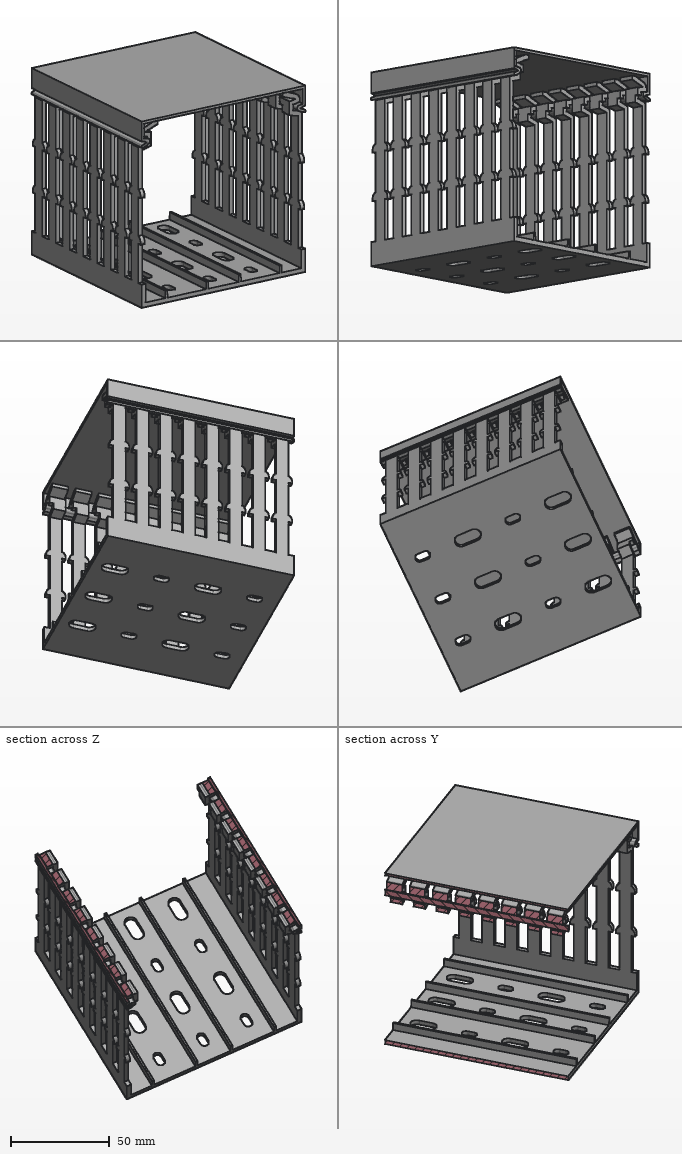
import cadquery as cq
import math

LENGTH = 100.0
WIDTH = 100.0
HEIGHT = 100.0
WALL = 2.5
COVER_WALL = 1.5
COVER_OVERHANG = 0.05
HALF_WIDTH = WIDTH / 2

FINGER_COUNT = 8
FINGER_PITCH = LENGTH / FINGER_COUNT
SLOT_WIDTH = 6.0
SLOT_BOTTOM = 12.5
FINGER_WIDTH = FINGER_PITCH - SLOT_WIDTH
FINGER_CENTERS = [(i + 0.5) * FINGER_PITCH - LENGTH / 2 for i in range(FINGER_COUNT)]

BARB_BOTTOMS = (33.5, 58.5)
BARB_REACH = 2.0
BARB_LIP = 1.0
BARB_ARC_RISE = 3.3
BARB_RADIUS = (BARB_REACH**2 + BARB_ARC_RISE**2) / (2 * BARB_REACH)

GROOVE_INSET = 5.35
NECK_INSET = GROOVE_INSET + WALL
SHOULDER_EDGE = (0.0, 14.75)
GROOVE_FLOOR = (GROOVE_INSET, 13.25)
GROOVE_ROOF = (GROOVE_INSET, 10.0)
CATCH_EDGE = (COVER_WALL, 9.4)
HOOK_ARC_START = (COVER_WALL, 7.0)
HOOK_ARC_MID = (2.5, 5.6)
HOOK_ARC_END = (4.0, 4.65)
HOOK_TIP_INSET = 11.9
HOOK_TIP_START = (9.5, 2.45)
HOOK_TIP_TOP = (HOOK_TIP_INSET, HOOK_TIP_START[1])
HOOK_TIP_BOTTOM = (HOOK_TIP_INSET, 4.5)
NOTCH_ROOT = (4.3, 7.3)
NECK_TOP = 7.85
NOTCH_MOUTH = (6.5, NECK_TOP)
NECK_BOTTOM = 15.3
NECK_TAPER_END = 16.7
HEAD_DEPTH = 11.75
HEAD_OVERHANG = 2.0

SKIRT_BOTTOM = 10.8
VEE_START = (1.4, 11.0)
VEE_ROOT = (3.0, 11.8)
LIP_TOP = (0.4, 12.9)
LIP_BOTTOM = (0.4, 14.3)
LIP_NOSE = (-COVER_OVERHANG, (LIP_TOP[1] + LIP_BOTTOM[1]) / 2)
BEAD_FLARE = (2.5, 13.8)
BEAD_ARC_START = (4.0, 12.8)
BEAD_NOSE = (5.1, 11.4)
BEAD_ARC_END = (4.1, 9.9)
BEAD_TOP = (COVER_WALL, 9.5)

RIB_CENTERS = (10.0, 34.9)
RIB_TOP = 6.4
RIB_BASE_WIDTH = 1.5
RIB_TOP_WIDTH = 1.1
HOLE_ROWS = (-25.0, 0.0, 25.0)
HOLE_COLUMNS = 2
HOLE_PITCH = 50.0
LARGE_SLOT = (14.0, 6.5)
SMALL_SLOT = (8.0, 4.5)
LARGE_SLOT_START = -37.5
SMALL_SLOT_START = -12.5


def place(point):
    """(Y, Z) on the +Y side of an (inset, depth) point."""
    inset, depth = point
    return (HALF_WIDTH - inset, HEIGHT - depth)


def extrude_x(profile, length, center=0.0):
    """Extrude a closed YZ profile along X, centred on the given X."""
    return profile.extrude(length / 2, both=True).translate((center, 0, 0))


def mirrored(body):
    """The body joined with its mirror image on the -Y side."""
    return body.union(body.mirror("XZ"))


def finger_profile():
    """Wall, clip neck and springy hook of one side, down to the slot bottom."""
    return (
        cq.Workplane("YZ")
        .moveTo(HALF_WIDTH, SLOT_BOTTOM)
        .lineTo(*place(SHOULDER_EDGE))
        .lineTo(*place(GROOVE_FLOOR))
        .lineTo(*place(GROOVE_ROOF))
        .lineTo(*place(CATCH_EDGE))
        .lineTo(*place(HOOK_ARC_START))
        .threePointArc(place(HOOK_ARC_MID), place(HOOK_ARC_END))
        .lineTo(*place(HOOK_TIP_START))
        .lineTo(*place(HOOK_TIP_TOP))
        .lineTo(*place(HOOK_TIP_BOTTOM))
        .lineTo(*place(NOTCH_ROOT))
        .lineTo(*place(NOTCH_MOUTH))
        .lineTo(*place((NECK_INSET, NECK_TOP)))
        .lineTo(*place((NECK_INSET, NECK_BOTTOM)))
        .lineTo(*place((WALL, NECK_TAPER_END)))
        .lineTo(HALF_WIDTH - WALL, SLOT_BOTTOM)
        .close()
    )


def barb_profile(bottom):
    """Outline of one pair of barbs across a finger, centred on X = 0."""
    edge = FINGER_WIDTH / 2
    tip = edge + BARB_REACH
    arc_bottom = bottom + BARB_LIP
    arc_top = arc_bottom + BARB_ARC_RISE
    half_angle = math.asin(BARB_ARC_RISE / BARB_RADIUS) / 2
    mid_x = tip - BARB_RADIUS * (1 - math.cos(half_angle))
    mid_z = arc_bottom + BARB_RADIUS * math.sin(half_angle)
    return (
        cq.Workplane("XZ")
        .moveTo(-tip, bottom)
        .lineTo(tip, bottom)
        .lineTo(tip, arc_bottom)
        .threePointArc((mid_x, mid_z), (edge, arc_top))
        .lineTo(-edge, arc_top)
        .threePointArc((-mid_x, mid_z), (-tip, arc_bottom))
        .close()
    )


def make_finger():
    """One +Y finger with its barbs and its one-sided wide head, centred on X = 0."""
    finger = extrude_x(finger_profile(), FINGER_WIDTH)
    head = extrude_x(finger_profile(), FINGER_WIDTH + HEAD_OVERHANG, -HEAD_OVERHANG / 2)
    head_zone = cq.Workplane("XY").box(LENGTH, WIDTH, HEAD_DEPTH, centered=(True, True, False))
    finger = finger.union(head.intersect(head_zone.translate((0, 0, HEIGHT - HEAD_DEPTH))))
    for bottom in BARB_BOTTOMS:
        barbs = barb_profile(bottom).extrude(WALL)
        finger = finger.union(barbs.translate((0, HALF_WIDTH, 0)))
    return finger


def make_tray():
    """Floor and the closed lower part of both side walls."""
    tray = cq.Workplane("XY").box(LENGTH, WIDTH, SLOT_BOTTOM, centered=(True, True, False))
    channel = cq.Workplane("XY").box(LENGTH, WIDTH - 2 * WALL, SLOT_BOTTOM, centered=(True, True, False))
    return tray.cut(channel.translate((0, 0, WALL)))


def make_rib(center):
    """Slightly tapered floor rib on the +Y side."""
    profile = cq.Workplane("YZ").polyline([
        (center - RIB_BASE_WIDTH / 2, WALL),
        (center + RIB_BASE_WIDTH / 2, WALL),
        (center + RIB_TOP_WIDTH / 2, RIB_TOP),
        (center - RIB_TOP_WIDTH / 2, RIB_TOP),
    ]).close()
    return extrude_x(profile, LENGTH)


def floor_slots(size, start):
    """Cutters for a grid of slots running along X."""
    spots = [(start + i * HOLE_PITCH, y) for i in range(HOLE_COLUMNS) for y in HOLE_ROWS]
    return cq.Workplane("XY").pushPoints(spots).slot2D(*size).extrude(WALL)


def make_duct():
    """Slotted wiring duct: tray, fingers on both sides, floor ribs and mounting slots."""
    duct = make_tray()
    finger = make_finger()
    for center in FINGER_CENTERS:
        duct = duct.union(mirrored(finger.translate((center, 0, 0))))
    for center in RIB_CENTERS:
        duct = duct.union(mirrored(make_rib(center)))
    duct = duct.cut(floor_slots(LARGE_SLOT, LARGE_SLOT_START))
    return duct.cut(floor_slots(SMALL_SLOT, SMALL_SLOT_START))


def make_cover():
    """Flat cover whose skirts end in a V-shaped bead that snaps into the clip groove."""
    half = (
        cq.Workplane("YZ")
        .moveTo(0, HEIGHT)
        .lineTo(*place((0, 0)))
        .lineTo(*place((0, SKIRT_BOTTOM)))
        .lineTo(*place(VEE_START))
        .lineTo(*place(VEE_ROOT))
        .lineTo(*place(LIP_TOP))
        .threePointArc(place(LIP_NOSE), place(LIP_BOTTOM))
        .lineTo(*place(BEAD_FLARE))
        .lineTo(*place(BEAD_ARC_START))
        .threePointArc(place(BEAD_NOSE), place(BEAD_ARC_END))
        .lineTo(*place(BEAD_TOP))
        .lineTo(*place((COVER_WALL, COVER_WALL)))
        .lineTo(0, HEIGHT - COVER_WALL)
        .close()
    )
    return mirrored(extrude_x(half, LENGTH))


duct = make_duct()
cover = make_cover()
result = cq.Compound.makeCompound([*duct.solids().vals(), *cover.solids().vals()])